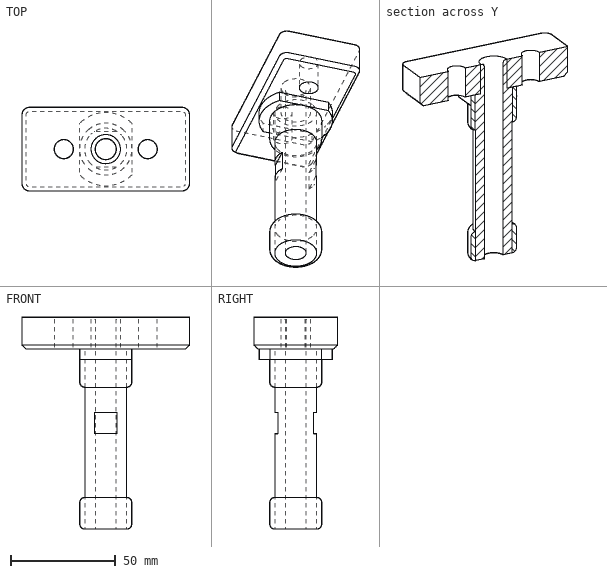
import cadquery as cq
import math

total_height = 101.1

plate_length = 80.0
plate_width = 40.0
plate_thickness = 15.3
plate_corner_radius = 3.7
plate_chamfer = 2.0
side_hole_diameter = 9.0
side_hole_spacing = plate_length / 2

stem_radius = 10.0
neck_radius = 7.0
bore_radius = 5.0
bore_rounding = 1.6
flat_across = 17.0
flat_height = 10.0
flat_drop = 45.6

ring_radius = 12.4
ring_rounding = ring_radius - stem_radius
flange_radius = 17.5
flange_thickness = 5.1
collar_length = 13.1
foot_height = 15.2

plate_bottom = total_height - plate_thickness
flange_bottom = plate_bottom - flange_thickness
collar_bottom = flange_bottom - collar_length
flat_centre = total_height - flat_drop - flat_height / 2


def cylinder(radius, bottom, top):
    return cq.Workplane("XY").workplane(offset=bottom).circle(radius).extrude(top - bottom)


def rounded_ring(bottom, top, round_top):
    """Ring on the stem whose quarter-round ends run in to the stem surface."""
    arc_inset = ring_rounding * (1 - math.sqrt(0.5))
    profile = (
        cq.Workplane("XZ")
        .moveTo(stem_radius, bottom)
        .threePointArc((ring_radius - arc_inset, bottom + arc_inset), (ring_radius, bottom + ring_rounding))
    )
    if round_top:
        profile = (
            profile.lineTo(ring_radius, top - ring_rounding)
            .threePointArc((ring_radius - arc_inset, top - arc_inset), (stem_radius, top))
        )
    else:
        profile = profile.lineTo(ring_radius, top).lineTo(stem_radius, top)
    return profile.close().revolve(360, (0, 0, 0), (0, 1, 0))


def make_plate():
    plate = (
        cq.Workplane("XY")
        .workplane(offset=plate_bottom)
        .rect(plate_length, plate_width)
        .extrude(plate_thickness)
        .edges("|Z")
        .fillet(plate_corner_radius)
        .faces("<Z")
        .chamfer(plate_chamfer)
    )
    side_holes = (
        cq.Workplane("XY")
        .workplane(offset=plate_bottom)
        .pushPoints([(-side_hole_spacing / 2, 0), (side_hole_spacing / 2, 0)])
        .circle(side_hole_diameter / 2)
        .extrude(plate_thickness)
    )
    return plate.cut(side_holes).cut(cylinder(neck_radius, plate_bottom, total_height))


def make_collar():
    """Rounded ring with a flange trimmed flush with the ring on both X sides."""
    flange_trim = (
        cq.Workplane("XY")
        .workplane(offset=flange_bottom)
        .rect(2 * ring_radius, 2 * flange_radius)
        .extrude(flange_thickness)
    )
    flange = (
        cylinder(flange_radius, flange_bottom, plate_bottom)
        .intersect(flange_trim)
        .cut(cylinder(stem_radius, flange_bottom, plate_bottom))
    )
    return rounded_ring(collar_bottom, flange_bottom, round_top=False).union(flange)


def make_stem():
    stem = cylinder(stem_radius, 0, plate_bottom).union(cylinder(neck_radius, plate_bottom, total_height))
    stem = stem.cut(cylinder(bore_radius, 0, total_height))
    stem = stem.faces(">Z").edges(cq.selectors.RadiusNthSelector(0)).fillet(bore_rounding)

    flat_depth = stem_radius - flat_across / 2
    for side in (-1, 1):
        flat_cut = cq.Workplane("XY").box(2 * stem_radius, flat_depth, flat_height)
        stem = stem.cut(flat_cut.translate((0, side * (flat_across + flat_depth) / 2, flat_centre)))
    return stem


def make_foot():
    return rounded_ring(0, foot_height, round_top=True)


plate = make_plate()
collar = make_collar()
stem = make_stem()
foot = make_foot()

result = cq.Compound.makeCompound([plate.val(), collar.val(), stem.val(), foot.val()])